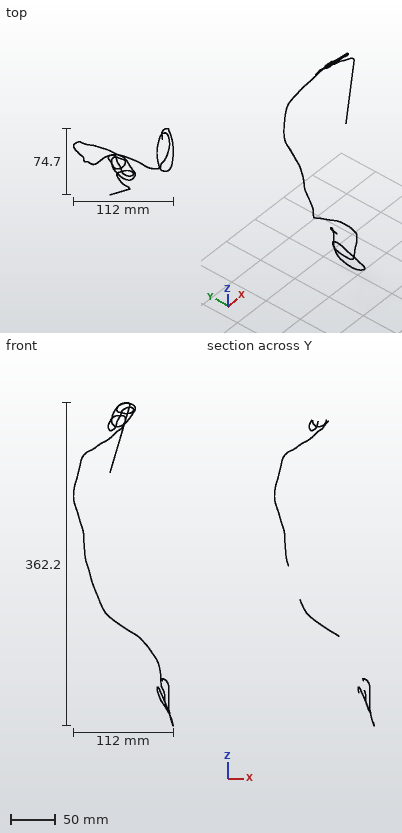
import cadquery as cq


WIRE_DIAMETER = 0.5

CURVE_PIECES = 8

TAIL_END = (-14.7, -37.3, 102.6)
TAIL_START = (7.2, -30.8, 176.7)

TIGHT_BEND = [
    (7.3, -30.3, 178.8), (6.0, -28.9, 180.2), (3.3, -27.3, 180.6), (-0.5, -24.9, 179.7),
    (-4.4, -20.2, 177.8), (-6.5, -16.9, 175.0),
]

SMALL_LOOP = [
    (-7.1, -14.2, 172.3), (-6.0, -12.5, 170.3), (-2.7, -11.5, 169.6), (1.1, -10.4, 168.5),
    (4.9, -10.0, 168.3), (8.7, -10.9, 169.2), (11.2, -12.5, 171.2), (11.1, -14.7, 173.9),
    (8.7, -16.1, 175.2), (5.5, -16.2, 175.2), (2.2, -15.0, 173.9), (-0.9, -12.5, 171.8),
    (-2.0, -9.8, 169.6), (-2.7, -7.1, 167.1), (-4.9, -3.3, 163.0), (-6.8, 0.0, 159.4),
    (-7.6, 2.7, 156.5), (-8.2, 4.9, 154.0), (-9.5, 6.4, 151.8), (-12.0, 7.2, 149.9),
    (-14.2, 7.1, 149.1), (-16.1, 5.8, 151.0), (-16.9, 4.0, 154.3),
]

INNER_LOOP = [
    (-16.0, 2.4, 157.0), (-14.4, 0.3, 160.3), (-12.5, -3.1, 163.0), (-10.9, -6.0, 164.4),
    (-8.7, -7.7, 165.5), (-6.0, -8.2, 166.0), (-2.7, -7.4, 166.0), (0.0, -5.5, 165.8),
    (2.0, -2.7, 164.1), (2.5, -0.5, 161.4), (1.3, 1.6, 157.6), (-1.1, 2.7, 155.1),
    (-4.4, 3.8, 153.8), (-8.2, 4.9, 153.8), (-11.5, 4.1, 155.9),
]

OUTER_LOOP = [
    (-12.9, 1.6, 158.7), (-12.9, -1.6, 161.9), (-12.3, -4.9, 165.2), (-10.9, -8.2, 169.0),
    (-8.7, -10.9, 172.8), (-6.0, -13.6, 176.1), (-2.7, -16.9, 178.3), (1.6, -19.6, 179.6),
    (6.0, -20.7, 179.6), (9.3, -20.2, 178.8), (12.5, -16.9, 176.7), (13.6, -14.2, 173.9),
    (12.2, -11.5, 170.7), (9.8, -8.2, 166.8), (7.1, -4.4, 163.0), (4.9, -0.5, 160.3),
    (2.7, 2.2, 157.9), (0.0, 4.9, 154.3), (-2.7, 6.3, 151.0), (-6.0, 7.6, 148.9),
]

LONG_RUN = [
    (-10.9, 10.0, 144.5), (-18.8, 13.6, 137.9), (-25.1, 15.5, 134.7), (-34.4, 18.2, 128.1),
    (-40.9, 19.1, 124.9), (-44.2, 20.2, 121.6), (-46.3, 21.0, 118.3), (-48.0, 22.0, 111.8),
    (-49.6, 22.1, 105.2), (-52.0, 21.3, 95.4), (-54.0, 20.2, 88.9), (-55.5, 18.5, 79.1),
    (-55.5, 16.6, 72.5), (-54.0, 13.8, 66.0), (-50.7, 10.4, 56.2), (-47.9, 7.6, 46.3),
    (-44.8, 4.9, 36.5), (-44.2, 3.1, 30.0), (-43.9, 1.1, 23.4), (-43.4, 0.2, 16.9),
    (-42.9, -0.1, 10.4), (-41.8, 0.1, 3.8), (-38.7, -0.8, -6.0), (-36.1, -2.6, -15.8),
    (-32.9, -3.3, -25.6), (-28.9, -1.6, -35.4), (-24.9, 1.6, -45.3), (-19.4, 5.3, -55.1),
    (-12.5, 7.6, -61.6), (-3.3, 7.1, -68.2), (6.5, 3.8, -74.7), (16.9, -0.5, -81.2),
    (23.4, -4.3, -87.8), (28.9, -7.1, -94.3), (33.3, -8.0, -100.9), (37.6, -8.2, -107.4),
    (40.1, -7.3, -114.0), (41.4, -6.2, -120.5), (42.0, -5.1, -127.0),
]

LOWER_INNER_LOOP = [
    (42.2, -3.6, -132.5), (43.1, -2.0, -137.9), (45.3, 0.2, -142.3), (46.3, 1.3, -146.7),
    (46.6, 2.2, -153.2), (47.4, 3.8, -157.0), (49.1, 7.1, -161.6), (50.2, 10.9, -164.1),
    (51.3, 14.7, -165.6), (51.8, 19.1, -166.1), (51.4, 24.5, -165.2), (50.2, 28.9, -162.8),
    (48.5, 31.4, -159.2), (46.3, 32.0, -153.8), (43.8, 31.1, -147.8), (41.8, 28.9, -143.4),
    (40.5, 25.6, -140.5), (39.4, 21.3, -138.4), (38.4, 16.9, -137.6),
]

LOWER_OUTER_LOOP = [
    (37.8, 11.5, -138.3), (37.8, 7.1, -140.1), (38.3, 2.7, -142.5), (39.3, -2.0, -145.4),
    (40.6, -6.5, -148.9), (42.5, -9.5, -153.2), (45.8, -10.8, -158.1), (48.9, -10.7, -163.0),
    (51.9, -8.8, -168.5), (54.0, -4.9, -173.6), (55.1, 0.5, -177.6), (55.8, 7.1, -180.5),
    (55.8, 13.6, -181.1), (55.4, 20.2, -179.9), (54.3, 25.6, -177.0), (52.9, 30.5, -172.5),
    (51.8, 33.0, -167.4), (51.0, 34.6, -161.9), (50.7, 35.4, -156.5), (50.8, 35.4, -149.9),
    (51.1, 35.6, -143.4), (50.9, 36.2, -137.9),
]

END_HOOK = [
    (50.2, 36.7, -134.1), (48.5, 36.9, -131.2), (46.3, 36.2, -129.2), (44.4, 34.6, -128.5),
    (43.3, 32.2, -128.4), (43.4, 28.9, -128.9), (43.9, 24.8, -130.5),
]

WAYPOINTS = (
    [TAIL_START]
    + TIGHT_BEND
    + SMALL_LOOP
    + INNER_LOOP
    + OUTER_LOOP
    + LONG_RUN
    + LOWER_INNER_LOOP
    + LOWER_OUTER_LOOP
    + END_HOOK
)


def centre_line():
    """Straight tail joined smoothly to the curve through all the waypoints."""
    tail_end = cq.Vector(*TAIL_END)
    points = [cq.Vector(*point) for point in WAYPOINTS]
    start_direction = (points[0] - tail_end).normalized()
    end_direction = (points[-1] - points[-2]).normalized()
    tail = cq.Edge.makeLine(tail_end, points[0])
    curve = cq.Edge.makeSpline(points, tangents=[start_direction, end_direction], scale=False)
    return cq.Wire.assembleEdges([tail] + equal_pieces(curve, CURVE_PIECES))


def equal_pieces(curve, count):
    """The curve cut into consecutive pieces of equal parameter length."""
    first, last = curve._bounds()
    step = (last - first) / count
    return [curve.trim(first + step * i, first + step * (i + 1)) for i in range(count)]


def round_wire(path):
    """Solid wire of circular section along the given path."""
    section_plane = cq.Plane(origin=path.startPoint(), normal=path.tangentAt(0))
    section = cq.Workplane(section_plane).circle(WIRE_DIAMETER / 2)
    return section.sweep(cq.Workplane(path))


result = round_wire(centre_line())